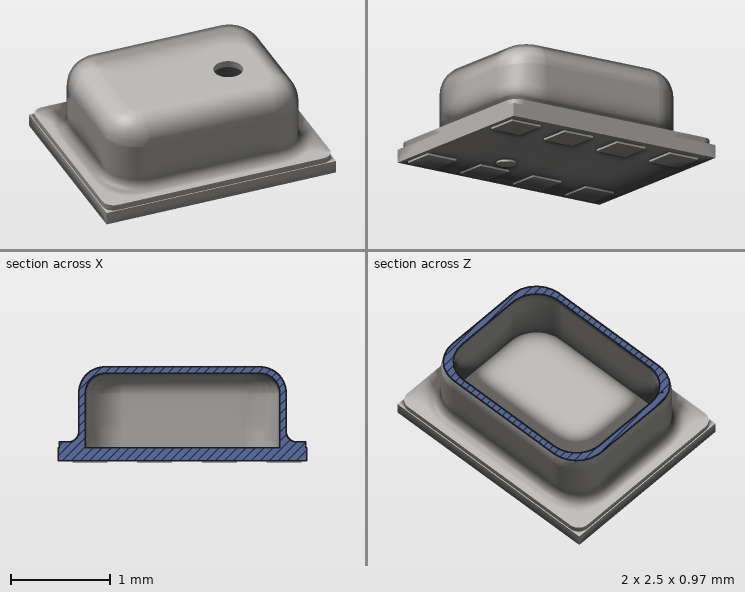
import cadquery as cq

BOARD_X = 2
BOARD_Y = 2.5
BOARD_THICKNESS = 0.135
TOTAL_HEIGHT = 0.97

PAD_THICKNESS = 0.02
PAD_SIZE = 0.35
PAD_COLUMN_X = 0.722
PAD_ROWS = 4
PAD_PITCH_Y = 0.65
PAD_ROWS_CENTRE_Y = 0.045
ROUND_PAD_DIAMETER = 0.2
ROUND_PAD_X = 0.35

WALL_THICKNESS = 0.07
FLANGE_THICKNESS = 0.06
FLANGE_MARGIN = 0.01
FLANGE_CORNER_RADIUS = 0.125
CAN_X = 1.59
CAN_Y = 2.09
CAN_CORNER_RADIUS = 0.35
CAN_TOP_RADIUS = 0.27
FLARE_RADIUS = 0.1

PORT_DIAMETER = 0.3
PORT_X = 0.175
PORT_Y = 0.425

BOARD_BOTTOM = PAD_THICKNESS
BOARD_TOP = BOARD_BOTTOM + BOARD_THICKNESS
FLANGE_TOP = BOARD_TOP + FLANGE_THICKNESS

PICK_CLEARANCE = 0.002


def block(size_x, size_y, height, bottom):
    """Upright box centred on the Z axis."""
    return cq.Workplane("XY").workplane(offset=bottom).rect(size_x, size_y).extrude(height)


def can_shape(inset, bottom):
    """Solid rounded can `inset` inside the outer skin; every size keeps the same upright corner radius."""
    top = TOTAL_HEIGHT - inset
    can = block(CAN_X - 2 * inset, CAN_Y - 2 * inset, top - bottom, bottom)
    can = can.edges("|Z").fillet(CAN_CORNER_RADIUS)
    return can.faces(">Z").edges().fillet(CAN_TOP_RADIUS - inset)


def make_lid():
    flange = block(
        BOARD_X - 2 * FLANGE_MARGIN,
        BOARD_Y - 2 * FLANGE_MARGIN,
        FLANGE_THICKNESS,
        BOARD_TOP,
    )
    flange = flange.edges("|Z").fillet(FLANGE_CORNER_RADIUS)
    lid = flange.union(can_shape(0, FLANGE_TOP))

    pick_x = CAN_X / 2 + PICK_CLEARANCE
    pick_y = CAN_Y / 2 + PICK_CLEARANCE
    foot_box = cq.selectors.BoxSelector(
        (-pick_x, -pick_y, FLANGE_TOP - PICK_CLEARANCE),
        (pick_x, pick_y, FLANGE_TOP + PICK_CLEARANCE),
    )
    lid = lid.edges(foot_box).fillet(FLARE_RADIUS)

    cavity = can_shape(WALL_THICKNESS, BOARD_TOP)
    port_depth = 2 * WALL_THICKNESS
    port = (
        cq.Workplane("XY")
        .workplane(offset=TOTAL_HEIGHT - port_depth)
        .center(PORT_X, PORT_Y)
        .circle(PORT_DIAMETER / 2)
        .extrude(port_depth)
    )
    return lid.cut(cavity).cut(port)


def make_pads():
    first_row_y = PAD_ROWS_CENTRE_Y - PAD_PITCH_Y * (PAD_ROWS - 1) / 2
    row_places = [first_row_y + PAD_PITCH_Y * row for row in range(PAD_ROWS)]
    square_pads = (
        cq.Workplane("XY")
        .pushPoints([(x, y) for x in (-PAD_COLUMN_X, PAD_COLUMN_X) for y in row_places])
        .rect(PAD_SIZE, PAD_SIZE)
        .extrude(PAD_THICKNESS)
    )
    round_pad = (
        cq.Workplane("XY")
        .center(ROUND_PAD_X, row_places[-2])
        .circle(ROUND_PAD_DIAMETER / 2)
        .extrude(PAD_THICKNESS)
    )
    return square_pads.union(round_pad)


board = block(BOARD_X, BOARD_Y, BOARD_THICKNESS, BOARD_BOTTOM)
result = board.union(make_pads()).union(make_lid())